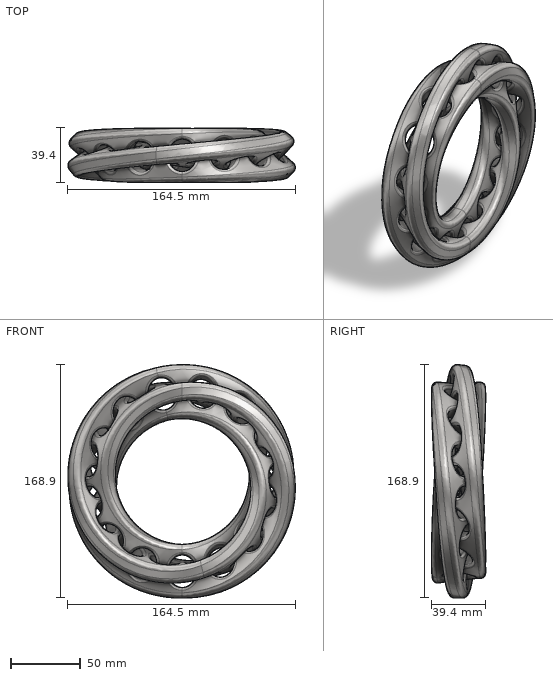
import cadquery as cq
import math

RING_RADIUS = 64.9
BAND_WIDTH = 38.9
BAND_THICKNESS = 13.0
RIM_FILLET = 3.8
START_AZIMUTH = 90.0
START_TILT = 90.0

FULL_TURN = 360.0
HALF_TURN = 180.0
TWIST_RATE = HALF_TURN / FULL_TURN
SECTIONS_PER_HALF = 14

HOLE_COUNT = 14
HOLE_LONG_RADIUS = 11.7
HOLE_SHORT_RADIUS = 10.2
HOLE_FILLET = 2.0
HOLE_PITCH = FULL_TURN / HOLE_COUNT

SECOND_BAND_SHIFT = HALF_TURN + HOLE_PITCH / 2


def band_directions(turn):
    """Centre, tangent, width direction and face normal of the band, `turn` degrees from its start."""
    azimuth = math.radians(START_AZIMUTH + turn)
    tilt = math.radians(START_TILT + turn * TWIST_RATE)
    outward = cq.Vector(math.cos(azimuth), 0, math.sin(azimuth))
    tangent = cq.Vector(-math.sin(azimuth), 0, math.cos(azimuth))
    front = cq.Vector(0, -1, 0)
    width_direction = outward * math.cos(tilt) + front * math.sin(tilt)
    normal = tangent.cross(width_direction)
    return outward * RING_RADIUS, tangent, width_direction, normal


def band_section(turn):
    centre, tangent, width_direction, _ = band_directions(turn)
    return (
        cq.Workplane(cq.Plane(centre, width_direction, tangent))
        .rect(BAND_WIDTH - 2 * RIM_FILLET, BAND_THICKNESS - 2 * RIM_FILLET)
        .offset2D(RIM_FILLET)
        .val()
    )


def half_band(first_turn):
    step = HALF_TURN / SECTIONS_PER_HALF
    sections = [band_section(first_turn + i * step) for i in range(SECTIONS_PER_HALF + 1)]
    return cq.Workplane(cq.Solid.makeLoft(sections))


def hole_cutter(turn):
    """Oval bore along the face normal; its long axis spins once in the face per trip around the ring."""
    centre, tangent, width_direction, normal = band_directions(turn)
    spin = math.radians(turn)
    long_direction = width_direction * math.cos(spin) + tangent * math.sin(spin)
    return (
        cq.Workplane(cq.Plane(centre - normal * BAND_THICKNESS, long_direction, normal))
        .ellipse(HOLE_LONG_RADIUS, HOLE_SHORT_RADIUS)
        .extrude(2 * BAND_THICKNESS)
    )


def moebius_band():
    band = half_band(0).union(half_band(HALF_TURN))
    for i in range(HOLE_COUNT):
        band = band.cut(hole_cutter(i * HOLE_PITCH))
    bores = band.faces("%EXTRUSION")
    return bores.edges("not %LINE").fillet(HOLE_FILLET)


first_band = moebius_band()
second_band = first_band.rotate((0, 0, 0), (0, -1, 0), SECOND_BAND_SHIFT)

result = cq.Compound.makeCompound([first_band.val().Solids()[0], second_band.val().Solids()[0]])